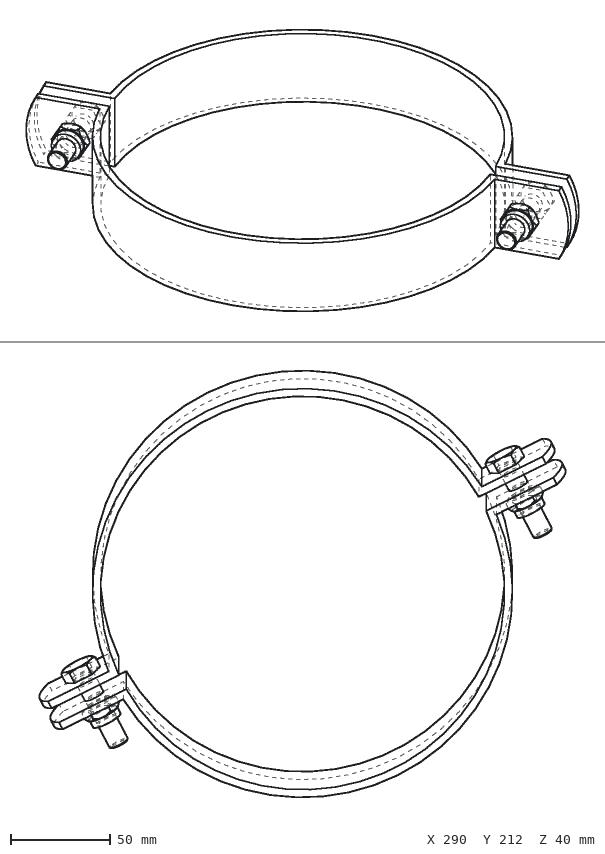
import cadquery as cq
import math

overall_length = 290.0
overall_depth = 212.0
band_width = 40.0
band_thickness = 4.0
clamp_gap = 8.0
tab_end_radius = 42.0

outer_radius = overall_depth / 2
inner_radius = outer_radius - band_thickness
half_length = overall_length / 2
half_gap = clamp_gap / 2
tab_outer_y = half_gap + band_thickness

bolt_spacing = 240.0
shank_diameter = 10.5
shank_tip_chamfer = 0.5
shank_projection = 23.8
hex_across_flats = 16.8
head_edge_chamfer = 1.0
nut_edge_chamfer = 1.5
head_height = 6.5
nut_hex_height = 6.0
collar_diameter = 15.7
collar_height = 4.0

hex_across_corners = hex_across_flats / math.cos(math.pi / 6)
bolt_positions = (-bolt_spacing / 2, bolt_spacing / 2)
shank_length = 2 * tab_outer_y + shank_projection


def cylinder_along_y(diameter, start_y, length):
    """Cylinder on the Y axis, growing toward -Y from start_y."""
    return cq.Workplane("XZ", origin=(0, start_y, 0)).circle(diameter / 2).extrude(length)


def hex_along_y(start_y, height, chamfered_faces, chamfer_height):
    """Hexagon with corners on X, its corners trimmed by cones at the selected end faces."""
    chamfer_inset = (hex_across_corners - hex_across_flats) / 2
    prism = cq.Workplane("XZ", origin=(0, start_y, 0)).polygon(6, hex_across_corners).extrude(height)
    trim = cylinder_along_y(hex_across_corners, start_y, height)
    trim = trim.faces(chamfered_faces).chamfer(chamfer_height, chamfer_inset)
    return prism.intersect(trim)


def make_clamp_half():
    """Half band with a bolted tab at each end, on the +Y side of the gap."""
    root_outer_x = math.sqrt(outer_radius**2 - tab_outer_y**2)
    root_inner_x = math.sqrt(inner_radius**2 - half_gap**2)
    band = (
        cq.Workplane("XY")
        .moveTo(-half_length, half_gap)
        .lineTo(-root_inner_x, half_gap)
        .threePointArc((0, inner_radius), (root_inner_x, half_gap))
        .lineTo(half_length, half_gap)
        .lineTo(half_length, tab_outer_y)
        .lineTo(root_outer_x, tab_outer_y)
        .threePointArc((0, outer_radius), (-root_outer_x, tab_outer_y))
        .lineTo(-half_length, tab_outer_y)
        .close()
        .extrude(band_width / 2, both=True)
    )

    half_width = band_width / 2
    end_depth = tab_end_radius - math.sqrt(tab_end_radius**2 - half_width**2)
    corner_x = half_length - end_depth
    end_outline = (
        cq.Workplane("XZ")
        .moveTo(-corner_x, -half_width)
        .lineTo(corner_x, -half_width)
        .threePointArc((half_length, 0), (corner_x, half_width))
        .lineTo(-corner_x, half_width)
        .threePointArc((-half_length, 0), (-corner_x, -half_width))
        .close()
        .extrude(overall_depth, both=True)
    )
    band = band.intersect(end_outline)

    for bolt_x in bolt_positions:
        hole = cylinder_along_y(shank_diameter, tab_outer_y, band_thickness)
        band = band.cut(hole.translate((bolt_x, 0, 0)))
    return band


def make_bolt(bolt_x):
    """Hex bolt with its head on the +Y tab and its tip toward -Y."""
    head = hex_along_y(tab_outer_y + head_height, head_height, ">Y", head_edge_chamfer)
    shank = cylinder_along_y(shank_diameter, tab_outer_y, shank_length)
    shank = shank.faces("<Y").chamfer(shank_tip_chamfer)
    return head.union(shank).translate((bolt_x, 0, 0))


def make_nut(bolt_x):
    """Hex nut with a round collar, seated on the -Y tab."""
    nut = hex_along_y(-tab_outer_y, nut_hex_height, "<Y or >Y", nut_edge_chamfer)
    nut = nut.union(cylinder_along_y(collar_diameter, -tab_outer_y - nut_hex_height, collar_height))
    bore = cylinder_along_y(shank_diameter, -tab_outer_y, nut_hex_height + collar_height)
    return nut.cut(bore).translate((bolt_x, 0, 0))


clamp_halves = [make_clamp_half().rotate((0, 0, 0), (0, 0, 1), angle) for angle in (0, 180)]
bolts = [make_bolt(bolt_x) for bolt_x in bolt_positions]
nuts = [make_nut(bolt_x) for bolt_x in bolt_positions]

result = cq.Compound.makeCompound([body.val() for body in clamp_halves + bolts + nuts])